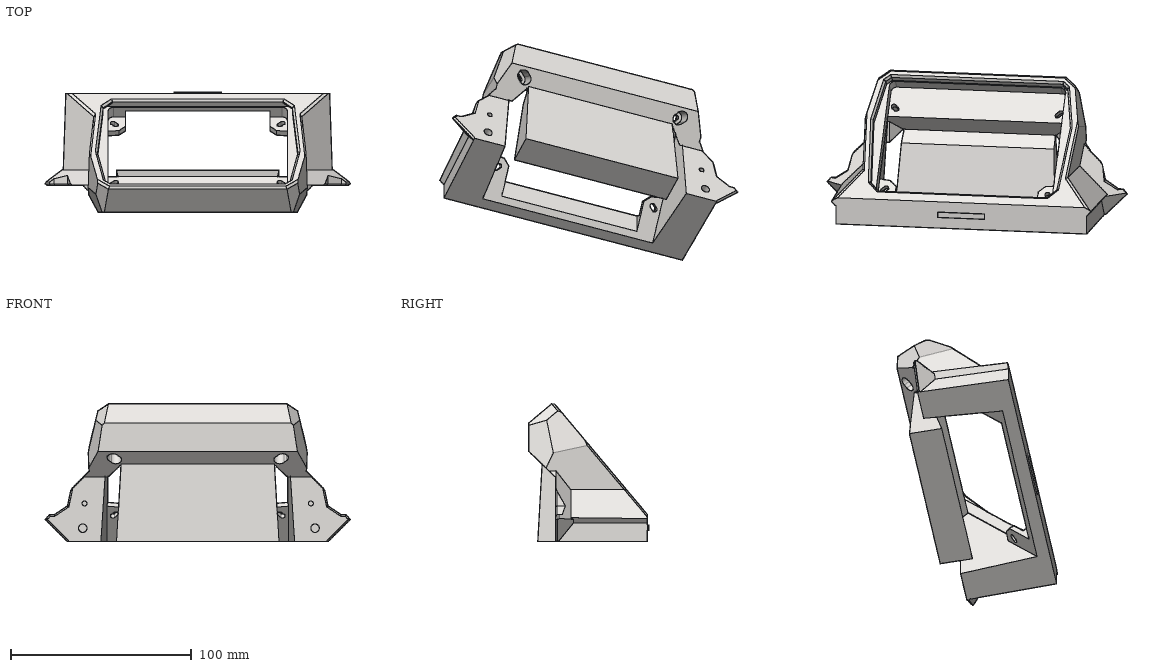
import cadquery as cq
import math

SLOPE_ANGLE = math.radians(50)
COS = math.cos(SLOPE_ANGLE)
SIN = math.sin(SLOPE_ANGLE)
REAR_HEIGHT = 15.0
FACE_LENGTH = 81.1
FRONT_Y = -65.8
FRONT_LOWER_Z = 50.0
EAR_FRONT_Y = -51.0
EAR_TOP_Z = 35.7
REACH = 400.0

HOOD_DRAFT = 0.138
HOOD_TOP_HALF = 49.3
HOOD_SHOULDER_HALF = 55.2
HOOD_SHOULDER_UP = 75.9
HOOD_WAIST_HALF = 60.0
HOOD_WAIST_UP = 50.2
HOOD_FOOT_HALF = 57.8
HOOD_FOOT_UP = 20.5
FACE_BEVEL = 1.2
FOOT_BEVEL = 1.0
FRONT_FACE_HALF = 55.2
FRONT_CORNER_SWEEP = 0.393
FRONT_CORNER_LEAN = 0.154

WING_ROOF_SUM = 85.9
WING_ROOF_FLARE = 0.045
WING_UNDERCUT_DIFFERENCE = 60.4
WING_FLARE = 0.022
WING_WALL_HALF = 70.6
WING_BEVEL = 0.95

EAR_TIP_HALF = 84.515
EAR_TIP_Z = 12.2
EAR_NOTCH = [(82.2, 14.9), (79.5, 14.9), (72.2, 19.8), (70.1, 29.9)]
EAR_BEVEL = 0.9
EAR_ROOT_DEPTH = 20.0
EAR_OVERRUN = 10.0
EAR_CREST_SUM = 99.3
UPPER_FLARE_SLOPE = 0.72
UPPER_FLARE_SUM = 87.9
UPPER_FLARE_Y = -42.5
LOWER_FLARE_SLOPE = 0.8
LOWER_FLARE_DIFFERENCE = 61.0
LOWER_FLARE_Y = -40.8
EAR_HOLES = [(-62.7, 21.1, 2.7), (62.7, 21.1, 2.7), (-63.7, 7.4, 4.7), (65.0, 7.4, 4.7)]
EAR_HOLE_DEPTH = 6.0

OPENING_BEVEL = 1.2
LIP_DEPTH = 2.0
LEDGE_DEPTH = 4.7
SHELF_DEPTH = 11.7
SHELF_THICKNESS = 3.4
OPENING_HALF = 49.6
CAVITY_DRAFT = 0.1
CAVITY_DRAFT_DEPTH = 8.0
CAVITY_DEPTH = 70.0
CAVITY_LIMIT = 55.0
OPENING_START_HALF = 47.3
OPENING_START_UP = 5.8
OPENING_LOWER_HALF = 52.4
OPENING_LOWER_UP = 11.0
OPENING_WAIST_HALF = 55.5
OPENING_WAIST_UP = 49.7
OPENING_UPPER_HALF = 51.2
OPENING_UPPER_UP = 73.9
OPENING_END_HALF = 48.2
OPENING_END_UP = 76.6
POCKET_START_UP = 6.3
POCKET_END_UP = 76.0
POCKET_CORNER_RADIUS = 3.0
SHELF_START_UP = 57.7
TAB_INNER_HALF = 40.0
TAB_ROOT_UP = -40.0
TAB_END_UP = 18.0
TAB_CORNER = 3.6
TAB_END_RISE = 1.2
REAR_WALL_Y = -9.75
REAR_CLEARANCE = 25.0
GUSSET_HALF = 42.5

SCREW_HALF = 46.2
SCREW_UPS = (12.3, 63.2)
SCREW_DIAMETER = 2.8
COUNTERBORE_DIAMETER = 6.4
SLOT_TRAVEL = 2.2
COUNTERBORE_REACH = 25.0

NAMEPLATE_SIZE = (26.4, 0.8, 3.0)
NAMEPLATE_Z = 7.7

COVER_BOTTOM_HALF = 45.0
COVER_SIDE_LEAN = 0.057
COVER_FRONT_Y = -60.8
COVER_TOP_FRONT_Y = -58.4
COVER_REAR_Y = -42.5


def slope_y(up, depth):
    return -up * COS - depth * SIN


def slope_z(up, depth):
    return REAR_HEIGHT + up * SIN - depth * COS


def underside_z(y):
    fall = (FRONT_LOWER_Z - EAR_TOP_Z) / (EAR_FRONT_Y - FRONT_Y)
    return FRONT_LOWER_Z - fall * (y - FRONT_Y)


def slope_plane(depth=0.0):
    """Frame on the slope: local y runs up the slope and local z points out of it."""
    return cq.Plane(
        origin=(0, slope_y(0, depth), slope_z(0, depth)), xDir=(-1, 0, 0), normal=(0, SIN, COS)
    )


def through(point, normal):
    """A bounding plane as (normal, offset), keeping the side that the normal points away from."""
    return cq.Vector(*normal), cq.Vector(*normal).dot(cq.Vector(*point))


def slope_side(half, up, taper, draft):
    """Plane whose X narrows by `taper` per mm up the slope and widens by `draft` per mm of depth."""
    normal = (1, -taper * COS + draft * SIN, taper * SIN + draft * COS)
    return through((half, slope_y(up, 0), slope_z(up, 0)), normal)


def bevel(first, second, size):
    """Plane that cuts the edge between two bounding planes."""
    first_unit = first[0].normalized()
    second_unit = second[0].normalized()
    offset = first[1] / first[0].Length + second[1] / second[0].Length - size
    return first_unit + second_unit, offset


def trim(body, planes):
    for normal, offset in planes:
        origin = normal * (offset / normal.dot(normal))
        waste = cq.Workplane(cq.Plane(origin=origin, normal=normal)).rect(REACH, REACH).extrude(REACH)
        body = body.cut(waste)
    return body


def both_sides(body):
    return body.union(body.mirror("YZ"))


def mirrored_outline(right_points):
    """Closed outline from the points of its right half, listed bottom to top."""
    return right_points + [(-x, y) for x, y in reversed(right_points)]


FACE = through((0, 0, REAR_HEIGHT), (0, SIN, COS))
TOP = through((0, slope_y(FACE_LENGTH, 0), slope_z(FACE_LENGTH, 0)), (0, -COS, SIN))


def half_profile():
    """Right half of the side profile, wide enough for the ears."""
    front_depth = (-FRONT_Y - FACE_LENGTH * COS) / SIN
    points = [
        (0, 0),
        (0, REAR_HEIGHT),
        (slope_y(FACE_LENGTH, 0), slope_z(FACE_LENGTH, 0)),
        (FRONT_Y, slope_z(FACE_LENGTH, front_depth)),
        (FRONT_Y, FRONT_LOWER_Z),
        (EAR_FRONT_Y, EAR_TOP_Z),
        (EAR_FRONT_Y, 0),
    ]
    return cq.Workplane("YZ").polyline(points).close().extrude(EAR_TIP_HALF)


def half_hood():
    corner_taper = (HOOD_SHOULDER_HALF - HOOD_TOP_HALF) / (FACE_LENGTH - HOOD_SHOULDER_UP)
    upper_taper = (HOOD_WAIST_HALF - HOOD_SHOULDER_HALF) / (HOOD_SHOULDER_UP - HOOD_WAIST_UP)
    lower_taper = (HOOD_FOOT_HALF - HOOD_WAIST_HALF) / (HOOD_WAIST_UP - HOOD_FOOT_UP)
    corner_side = slope_side(HOOD_TOP_HALF, FACE_LENGTH, corner_taper, HOOD_DRAFT)
    upper_side = slope_side(HOOD_SHOULDER_HALF, HOOD_SHOULDER_UP, upper_taper, HOOD_DRAFT)
    lower_side = slope_side(HOOD_WAIST_HALF, HOOD_WAIST_UP, lower_taper, 0)
    front_corner = through(
        (FRONT_FACE_HALF, FRONT_Y, FRONT_LOWER_Z), (1, -FRONT_CORNER_SWEEP, FRONT_CORNER_LEAN)
    )
    bevels = [
        bevel(FACE, TOP, FACE_BEVEL),
        bevel(FACE, corner_side, FACE_BEVEL),
        bevel(FACE, lower_side, FOOT_BEVEL),
    ]
    return trim(half_profile(), [corner_side, upper_side, lower_side, front_corner] + bevels)


def half_wing():
    roof = through((WING_ROOF_SUM, 0, 0), (1, WING_ROOF_FLARE, 1))
    undercut = through((WING_UNDERCUT_DIFFERENCE, 0, 0), (1, WING_FLARE, -1))
    wall = through((WING_WALL_HALF, 0, 0), (1, WING_FLARE, 0))
    hood_foot = through((0, 0, slope_z(HOOD_FOOT_UP, 0)), (0, 0, 1))
    wing = trim(half_profile(), [roof, hood_foot, bevel(FACE, roof, WING_BEVEL)])
    upper = trim(wing, [undercut])
    return upper.union(trim(wing, [wall]))


def half_ear():
    """Pointed plate with a notched edge; its crest runs forward to the underside of the hood."""
    outline = [
        (HOOD_FOOT_HALF, -EAR_OVERRUN),
        (EAR_TIP_HALF - EAR_TIP_Z - EAR_OVERRUN, -EAR_OVERRUN),
        (EAR_TIP_HALF, EAR_TIP_Z),
        *EAR_NOTCH,
        (HOOD_FOOT_HALF, sum(EAR_NOTCH[-1]) - HOOD_FOOT_HALF),
    ]
    plate = (
        cq.Workplane("XZ", origin=(0, EAR_FRONT_Y, 0)).polyline(outline).close().extrude(-EAR_ROOT_DEPTH)
        .faces("<Y").chamfer(EAR_BEVEL)
    )
    upper_flare = through((UPPER_FLARE_SUM, UPPER_FLARE_Y, 0), (UPPER_FLARE_SLOPE, 1, UPPER_FLARE_SLOPE))
    lower_flare = through(
        (LOWER_FLARE_DIFFERENCE, LOWER_FLARE_Y, 0), (LOWER_FLARE_SLOPE, 1, -LOWER_FLARE_SLOPE)
    )
    ear = trim(plate, [upper_flare, lower_flare, through((0, 0, 0), (0, 0, -1))])
    crest = trim(
        half_profile(),
        [
            upper_flare,
            through((EAR_CREST_SUM, 0, 0), (1, 0, 1)),
            through((HOOD_FOOT_HALF, 0, 0), (-1, 0, 0)),
            through((0, 0, EAR_TOP_Z), (0, 0, -1)),
        ],
    )
    return ear.union(crest)


def ear_hole(x, z, diameter):
    return cq.Workplane("XZ", origin=(x, EAR_FRONT_Y, z)).circle(diameter / 2).extrude(-EAR_HOLE_DEPTH)


def opening_outline(depth, start_half):
    right = [
        (start_half, OPENING_START_UP),
        (OPENING_LOWER_HALF, OPENING_LOWER_UP),
        (OPENING_WAIST_HALF, OPENING_WAIST_UP),
        (OPENING_UPPER_HALF, OPENING_UPPER_UP),
        (OPENING_END_HALF, OPENING_END_UP),
    ]
    return cq.Workplane(slope_plane(depth)).polyline(mirrored_outline(right)).close()


def slope_block(up_start, up_end, depth_top, depth_bottom):
    """Block across the opening whose sides flare with the cavity draft."""
    half_top = OPENING_HALF + CAVITY_DRAFT * (depth_top - CAVITY_DRAFT_DEPTH)
    half_bottom = OPENING_HALF + CAVITY_DRAFT * (depth_bottom - CAVITY_DRAFT_DEPTH)
    start = cq.Plane(
        origin=(0, slope_y(up_start, 0), slope_z(up_start, 0)), xDir=(1, 0, 0), normal=(0, -COS, SIN)
    )
    outline = mirrored_outline([(half_bottom, -depth_bottom), (half_top, -depth_top)])
    return cq.Workplane(start).polyline(outline).close().extrude(up_end - up_start)


def display_recess():
    """Eight-sided recess with a bevelled rim; its lower corners are square below the lip."""
    rim = opening_outline(OPENING_BEVEL, OPENING_START_HALF).extrude(OPENING_BEVEL, taper=-45)
    lip = opening_outline(0, OPENING_START_HALF).extrude(-LIP_DEPTH)
    seat = opening_outline(LIP_DEPTH, OPENING_LOWER_HALF).extrude(LIP_DEPTH - LEDGE_DEPTH)
    return rim.union(lip).union(seat)


def half_tab():
    """Screw tab at the lower corner of the opening."""
    outline = [
        (TAB_INNER_HALF, TAB_ROOT_UP),
        (TAB_INNER_HALF, TAB_END_UP - TAB_CORNER),
        (TAB_INNER_HALF + TAB_CORNER, TAB_END_UP),
        (CAVITY_LIMIT, TAB_END_UP + TAB_END_RISE),
        (CAVITY_LIMIT, TAB_ROOT_UP),
    ]
    return cq.Workplane(slope_plane(SHELF_DEPTH)).polyline(outline).close().extrude(-SHELF_THICKNESS)


def half_gusset():
    """Triangular fill below the shelf, closing the cavity corner behind the front wall."""
    rear_y = EAR_FRONT_Y
    front_y = rear_y - (OPENING_HALF - GUSSET_HALF)
    outline = [
        (GUSSET_HALF, front_y),
        (OPENING_HALF, rear_y),
        (CAVITY_LIMIT, rear_y),
        (CAVITY_LIMIT, front_y),
    ]
    return (
        cq.Workplane("XY", origin=(0, 0, EAR_TOP_Z)).polyline(outline).close()
        .extrude(slope_z(FACE_LENGTH, 0) - EAR_TOP_Z)
    )


def cavity():
    pocket = (
        cq.Workplane(slope_plane(LEDGE_DEPTH)).center(0, (POCKET_START_UP + POCKET_END_UP) / 2)
        .rect(2 * OPENING_HALF, POCKET_END_UP - POCKET_START_UP).extrude(LEDGE_DEPTH - SHELF_DEPTH)
        .edges(cq.selectors.ParallelDirSelector(cq.Vector(0, SIN, COS))).fillet(POCKET_CORNER_RADIUS)
    )
    through_cut = slope_block(POCKET_START_UP, SHELF_START_UP, SHELF_DEPTH, CAVITY_DEPTH)
    below_tabs = slope_block(-CAVITY_DEPTH, SHELF_START_UP, SHELF_DEPTH + SHELF_THICKNESS, CAVITY_DEPTH)
    between_tabs = (
        cq.Workplane("XY", origin=(0, REAR_WALL_Y - REAR_CLEARANCE / 2, 0))
        .rect(2 * TAB_INNER_HALF, REAR_CLEARANCE).extrude(REAR_HEIGHT + LEDGE_DEPTH)
    )
    lower = through_cut.union(below_tabs).cut(both_sides(half_tab())).cut(both_sides(half_gusset()))
    return pocket.union(lower).union(between_tabs)


def diagonal_slot(side, up, diameter, depth, length):
    """Slot at one corner of the opening, pointing at the middle of the display."""
    turn = 45 * side if up < SHELF_START_UP else -45 * side
    return (
        cq.Workplane(slope_plane(depth)).center(side * SCREW_HALF, up)
        .slot2D(diameter + SLOT_TRAVEL, diameter, 90 + turn).extrude(-length)
    )


def screw_slots():
    slots = cq.Workplane("XY")
    for side in (-1, 1):
        for up in SCREW_UPS:
            screw = diagonal_slot(side, up, SCREW_DIAMETER, SHELF_DEPTH, SHELF_THICKNESS)
            bore_depth = SHELF_DEPTH + SHELF_THICKNESS
            counterbore = diagonal_slot(side, up, COUNTERBORE_DIAMETER, bore_depth, COUNTERBORE_REACH)
            slots = slots.union(screw).union(counterbore)
    return slots


def nameplate():
    width, thickness, height = NAMEPLATE_SIZE
    return cq.Workplane("XY").box(width, thickness, height, centered=(True, False, True)).translate(
        (0, 0, NAMEPLATE_Z)
    )


def make_housing():
    half = half_hood().union(half_wing()).union(half_ear())
    shell = both_sides(half)
    for x, z, diameter in EAR_HOLES:
        shell = shell.cut(ear_hole(x, z, diameter))
    return shell.cut(display_recess()).cut(cavity()).cut(screw_slots()).union(nameplate())


def make_cover():
    top_rear_y = EAR_FRONT_Y
    profile = [
        (COVER_FRONT_Y, 0),
        (COVER_TOP_FRONT_Y, underside_z(COVER_TOP_FRONT_Y)),
        (top_rear_y, underside_z(top_rear_y)),
        (COVER_REAR_Y, 0),
    ]
    wedge = cq.Workplane("YZ").polyline(profile).close().extrude(COVER_BOTTOM_HALF)
    side = through((COVER_BOTTOM_HALF, 0, 0), (1, 0, COVER_SIDE_LEAN))
    return both_sides(trim(wedge, [side]))


housing = make_housing()
cover = make_cover()
result = cq.Compound.makeCompound([*housing.solids().vals(), *cover.solids().vals()])